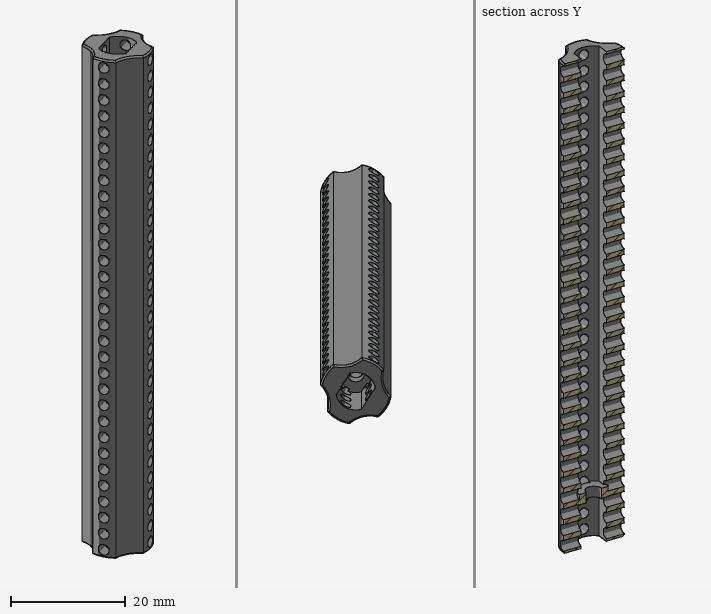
import cadquery as cq
import math

length = 96.9
outer_radius = 12.5 / 2
lobe_width = 4.5
valley_radius = 5.0
end_chamfer = 0.32

hole_count = 31
pitch = length / hole_count
cross_hole_diameter = 2.0

bore_radius = 3.5
bore_flat_width = 5.1
web_bottom = 8.7
web_top = 10.85
web_core_radius = 3.0
web_hole_diameter = 3.0


def lobed_rod():
    """Four convex lobes joined by concave valleys, chamfered at both ends."""
    half_width = lobe_width / 2
    shoulder = math.sqrt(outer_radius**2 - half_width**2)
    valley = valley_radius * math.sqrt(0.5)
    outline = cq.Workplane("XY").moveTo(half_width, shoulder)
    for ax, ay in ((1, 0), (0, -1), (-1, 0), (0, 1)):
        bx, by = -ay, ax
        outline = outline.threePointArc(
            (valley * (ax + bx), valley * (ay + by)),
            (shoulder * ax + half_width * bx, shoulder * ay + half_width * by),
        )
        outline = outline.threePointArc(
            (outer_radius * ax, outer_radius * ay),
            (shoulder * ax - half_width * bx, shoulder * ay - half_width * by),
        )
    return outline.close().extrude(length).faces("<Z or >Z").chamfer(end_chamfer)


def cylinder(radius, bottom, top):
    """Upright cylinder on the rod axis, between two heights."""
    return cq.Workplane("XY").workplane(offset=bottom).circle(radius).extrude(top - bottom)


def flat_sided_bore(bottom, top):
    """Round bore with two flats facing X, between two heights."""
    flats = (
        cq.Workplane("XY")
        .workplane(offset=bottom)
        .rect(bore_flat_width, 2 * bore_radius)
        .extrude(top - bottom)
    )
    return cylinder(bore_radius, bottom, top).intersect(flats)


def cross_holes(plane):
    """Column of holes through two opposite lobes, leaving the core of the web solid."""
    centres = [(0, (i + 0.5) * pitch) for i in range(hole_count)]
    drills = (
        cq.Workplane(plane)
        .pushPoints(centres)
        .circle(cross_hole_diameter / 2)
        .extrude(outer_radius, both=True)
    )
    return drills.cut(cylinder(web_core_radius, web_bottom, web_top))


result = lobed_rod()
result = result.cut(flat_sided_bore(0, web_bottom))
result = result.cut(flat_sided_bore(web_top, length))
for plane in ("XZ", "YZ"):
    result = result.cut(cross_holes(plane))
result = result.cut(cylinder(web_hole_diameter / 2, web_bottom, web_top))